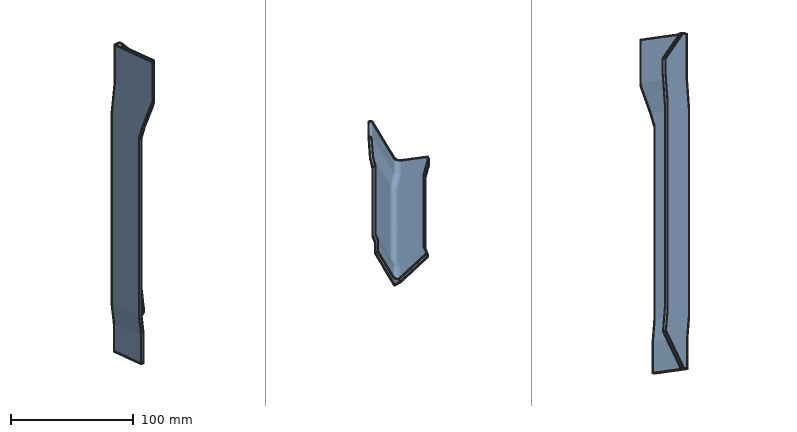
import cadquery as cq
import math

LENGTH = 279.5
DEPTH = 35.0
TOP_JOGGLE = 3.4
BOTTOM_JOGGLE = 2.5
WEB_DEPTH = DEPTH - TOP_JOGGLE
THICKNESS = 2.8
ROOT_RADIUS = 4.7
TIP_RADIUS = 2.0

BOTTOM_RAMP_START = 25.7
BOTTOM_RAMP_END = 44.1
TOP_RAMP_START = LENGTH - 61.5
TOP_RAMP_END = LENGTH - 36.0

WIDE_WIDTH = 44.5
NARROW_WIDTH = 32.0
TAPER_START = LENGTH - 73.2

END_LAND = 5.5


def face_path(offset):
    """Front face bend path moved inward by a constant perpendicular distance."""
    bottom_angle = math.atan2(BOTTOM_JOGGLE, BOTTOM_RAMP_END - BOTTOM_RAMP_START)
    top_angle = math.atan2(TOP_JOGGLE, TOP_RAMP_END - TOP_RAMP_START)
    bottom_shift = offset * math.tan(bottom_angle / 2)
    top_shift = offset * math.tan(top_angle / 2)
    return [
        (BOTTOM_JOGGLE + offset, 0),
        (BOTTOM_JOGGLE + offset, BOTTOM_RAMP_START + bottom_shift),
        (offset, BOTTOM_RAMP_END + bottom_shift),
        (offset, TOP_RAMP_START - top_shift),
        (TOP_JOGGLE + offset, TOP_RAMP_END - top_shift),
        (TOP_JOGGLE + offset, LENGTH),
    ]


def joggled_plate(depth, width):
    """Solid between the front face path and its offset, extruded along X."""
    outline = face_path(0) + face_path(depth)[::-1]
    return cq.Workplane("YZ").polyline(outline).close().extrude(width)


def inner_face_edges(body, x):
    """Edges where the flange's inner face meets the plane at the given X."""
    path = face_path(THICKNESS)
    edges = []
    for (y1, z1), (y2, z2) in zip(path, path[1:]):
        middle = (x, (y1 + y2) / 2, (z1 + z2) / 2)
        edges.append(body.edges(cq.selectors.NearestToPointSelector(middle)).val())
    return body.newObject(edges)


def angle_bar():
    flange = joggled_plate(THICKNESS, WIDE_WIDTH)
    web = joggled_plate(WEB_DEPTH, THICKNESS)
    bar = flange.union(web)
    bar = inner_face_edges(bar, THICKNESS).fillet(ROOT_RADIUS)
    return inner_face_edges(bar, WIDE_WIDTH).fillet(TIP_RADIUS)


def flange_outline():
    """Full-depth block limiting the flange to its tapered width."""
    outline = [
        (0, 0),
        (NARROW_WIDTH, 0),
        (NARROW_WIDTH, TAPER_START),
        (WIDE_WIDTH, TOP_RAMP_END),
        (WIDE_WIDTH, LENGTH),
        (0, LENGTH),
    ]
    return cq.Workplane("XZ").polyline(outline).close().extrude(-DEPTH)


def end_cut(joggle, end_height, inward):
    """45 degree wedge removed from an end; inward is the Z sign into the bar."""
    land_end = joggle + END_LAND
    run = DEPTH - land_end
    outline = [
        (land_end, end_height),
        (DEPTH, end_height),
        (DEPTH, end_height + inward * run),
    ]
    return cq.Workplane("YZ").polyline(outline).close().extrude(WIDE_WIDTH)


result = (
    angle_bar()
    .intersect(flange_outline())
    .cut(end_cut(TOP_JOGGLE, LENGTH, -1))
    .cut(end_cut(BOTTOM_JOGGLE, 0, 1))
)